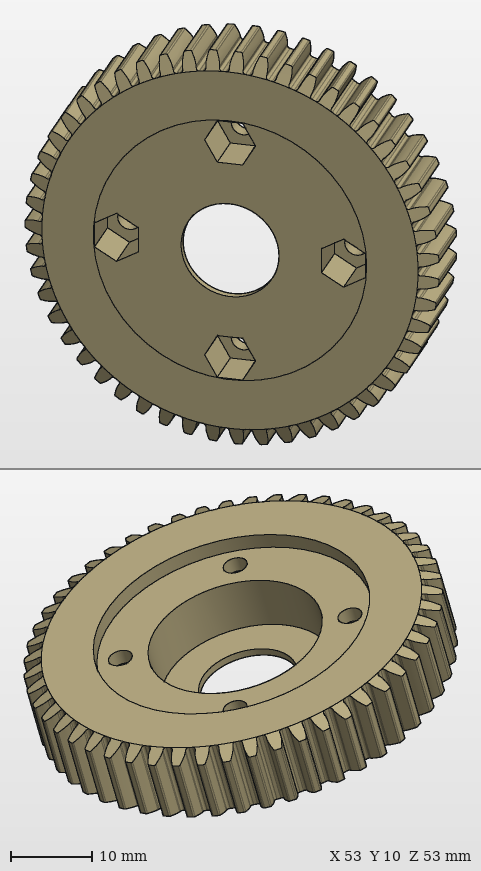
import cadquery as cq
import math

OUTER_RADIUS = 26.5
FACE_WIDTH = 10.0
FRONT = -FACE_WIDTH / 2

TOOTH_COUNT = 51
PRESSURE_ANGLE = math.radians(14.5)
MODULE = 2 * OUTER_RADIUS / (TOOTH_COUNT + 2)
PITCH_RADIUS = MODULE * TOOTH_COUNT / 2
BASE_RADIUS = PITCH_RADIUS * math.cos(PRESSURE_ANGLE)
ROOT_RADIUS = 24.05
ROOT_ROUND = 0.35
FOOT_DEPTH = 0.55
TIP_ROUND = 0.2
FLANK_STEPS = 3
TOOTH_PITCH = 360 / TOOTH_COUNT
FIRST_TOOTH_ANGLE = 180

BEVEL_FACE_RADIUS = ROOT_RADIUS
BEVEL_WIDTH = 0.95

HUB_RADIUS = 17.5
HUB_THICKNESS = 8.0
BORE_RADIUS = 6.25

SEAT_RADIUS = 11.0
LIP_THICKNESS = 1.0

SCREW_COUNT = 4
SCREW_CIRCLE_RADIUS = 14.5
SCREW_DIAMETER = 3.0
NUT_ACROSS_FLATS = 5.6
HEXAGON_SIDES = 6
HEXAGON_HALF_ANGLE = 180 / HEXAGON_SIDES
NUT_ACROSS_CORNERS = NUT_ACROSS_FLATS / math.cos(math.radians(HEXAGON_HALF_ANGLE))
NUT_POCKET_DEPTH = 6.0


def front_plane(depth=0):
    """Sketch plane at a depth behind the front face, X right and Z up, with its normal toward -Y."""
    return cq.Workplane(cq.Plane(origin=(0, FRONT + depth, 0), xDir=(1, 0, 0), normal=(0, -1, 0)))


def disc(radius, thickness, depth=0):
    """Disc on the gear axis whose front lies at a depth behind the front face."""
    return front_plane(depth).circle(radius).extrude(-thickness)


def polar(radius, angle):
    return (radius * math.cos(angle), radius * math.sin(angle))


def involute(angle):
    return math.tan(angle) - angle


def half_tooth_angle(radius):
    """Angle between a tooth's centre line and its flank at the given radius."""
    roll = math.acos(BASE_RADIUS / radius)
    return math.pi / (2 * TOOTH_COUNT) + involute(PRESSURE_ANGLE) - involute(roll)


def mirrored(points):
    """The points flipped across the tooth's centre line."""
    return [(x, -z) for x, z in points]


def tooth():
    """One tooth on the +X axis, straight through the face width, rounded at its tip and root."""
    radial_step = (OUTER_RADIUS - BASE_RADIUS) / FLANK_STEPS
    flank_radii = [BASE_RADIUS + radial_step * i for i in range(FLANK_STEPS + 1)]
    flank = [polar(r, half_tooth_angle(r)) for r in flank_radii]

    base_angle = half_tooth_angle(BASE_RADIUS)
    round_center_radius = ROOT_RADIUS + ROOT_ROUND
    round_angle = math.asin(ROOT_ROUND / round_center_radius)
    root_angle = base_angle + round_angle
    center_x, center_z = polar(round_center_radius, root_angle)
    toward_flank = base_angle - math.pi / 2
    toward_root = root_angle - math.pi
    middle_direction = (toward_flank + toward_root) / 2
    middle_x, middle_z = polar(ROOT_ROUND, middle_direction)
    round_top = polar(round_center_radius * math.cos(round_angle), base_angle)
    round_middle = (center_x + middle_x, center_z + middle_z)
    round_end = polar(ROOT_RADIUS, root_angle)
    foot = polar(ROOT_RADIUS - FOOT_DEPTH, root_angle)

    lower_foot, lower_end, lower_middle, lower_top = mirrored([foot, round_end, round_middle, round_top])
    lower_flank = mirrored(flank)
    blank = (
        front_plane()
        .moveTo(*lower_foot)
        .lineTo(*lower_end)
        .threePointArc(lower_middle, lower_top)
        .lineTo(*lower_flank[0])
        .spline(lower_flank[1:], includeCurrent=True)
        .threePointArc((OUTER_RADIUS, 0), flank[-1])
        .spline(flank[-2::-1], includeCurrent=True)
        .lineTo(*round_top)
        .threePointArc(round_middle, round_end)
        .lineTo(*foot)
        .close()
        .extrude(-FACE_WIDTH)
    )
    return blank.edges("|Y").edges(">X").fillet(TIP_ROUND)


def bevelled_blank():
    """Solid of revolution that the teeth must stay inside."""
    back = -FRONT
    half_profile = [
        (0, FRONT),
        (BEVEL_FACE_RADIUS, FRONT),
        (OUTER_RADIUS, FRONT + BEVEL_WIDTH),
        (OUTER_RADIUS, back - BEVEL_WIDTH),
        (BEVEL_FACE_RADIUS, back),
        (0, back),
    ]
    return cq.Workplane("XY").polyline(half_profile).close().revolve(360, (0, 0, 0), (0, 1, 0))


def gear_ring():
    first_tooth = tooth().rotate((0, 0, 0), (0, 1, 0), FIRST_TOOTH_ANGLE).val()
    teeth = []
    for i in range(TOOTH_COUNT):
        teeth.append(first_tooth.rotate(cq.Vector(0, 0, 0), cq.Vector(0, 1, 0), i * TOOTH_PITCH))
    toothed = cq.Workplane(disc(ROOT_RADIUS, FACE_WIDTH).val().fuse(*teeth))
    return toothed.intersect(bevelled_blank()).cut(disc(HUB_RADIUS, FACE_WIDTH))


def screw_opening(index):
    """Screw hole through the hub with its nut pocket, one flat of the hexagon facing the gear axis."""
    angle = 2 * math.pi * index / SCREW_COUNT
    center = polar(SCREW_CIRCLE_RADIUS, angle)
    hole = front_plane().center(*center).circle(SCREW_DIAMETER / 2).extrude(-HUB_THICKNESS)
    pocket = (
        front_plane()
        .center(*center)
        .transformed(rotate=(0, 0, math.degrees(angle) + HEXAGON_HALF_ANGLE))
        .polygon(HEXAGON_SIDES, NUT_ACROSS_CORNERS)
        .extrude(-NUT_POCKET_DEPTH)
    )
    return hole.union(pocket)


def hub_disc():
    body = disc(HUB_RADIUS, HUB_THICKNESS)
    body = body.cut(disc(BORE_RADIUS, HUB_THICKNESS))
    body = body.cut(disc(SEAT_RADIUS, HUB_THICKNESS - LIP_THICKNESS, depth=LIP_THICKNESS))
    for index in range(SCREW_COUNT):
        body = body.cut(screw_opening(index))
    return body


ring = gear_ring()
hub = hub_disc()
result = cq.Compound.makeCompound([ring.val(), hub.val()])